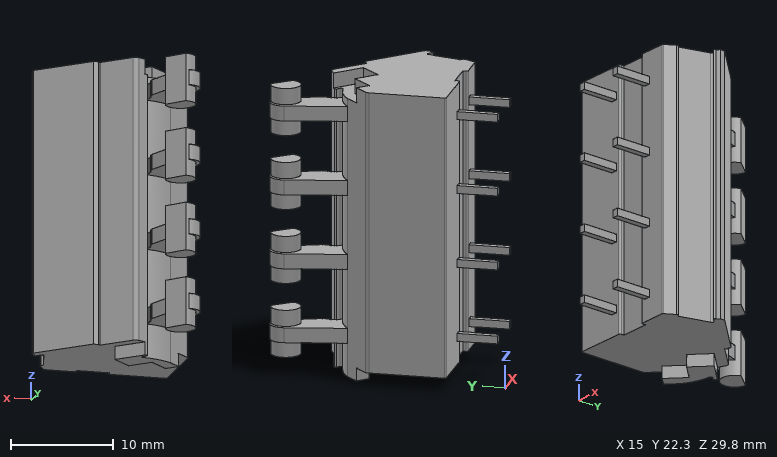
import cadquery as cq
import math


pole_count = 4
pole_pitch = 7.5
first_pin_z = 2.8
first_lever_z = 2.85

housing_height = 28.5
back_height = 7.93
edge_round = 0.18
back_round = 0.6
shoulder_x = 2.5
shoulder_y = back_height + shoulder_x
recess_left = 5.9
recess_right = 9.18
recess_depth = 0.5

overall_height = 29.8
key_height = overall_height - housing_height
socket_depth = 1.52
zigzag_start_x = 1.35
hook_root_x = 5.6
zigzag_overshoot = 2.98

pin_x_centers = (5.0, 10.05)
pin_width = 0.7
pin_thickness = 0.8
pin_length = 4.02
pin_embed = 0.6

knob_x = 3.2
knob_y = 16.75
knob_radius = 1.5
knob_length = 4.8
knob_flat_offset = 0.85
knob_flat_angle = 40
lever_thickness = 1.52
lever_end_x = 2.75
lever_end_radius = 1.5
lever_lean = 10.2
lever_embed = 1.5


def polar(center_x, center_y, radius, angle):
    """Point on a circle, with the angle in degrees from +X."""
    turn = math.radians(angle)
    return (center_x + radius * math.cos(turn), center_y + radius * math.sin(turn))


def make_housing():
    """Extruded housing with a latch hook on top and a lip at the front."""
    outline = (
        cq.Workplane("XY")
        .moveTo(0, 0)
        .lineTo(0, back_height)
        .lineTo(shoulder_x, shoulder_y)
        .threePointArc((3.8, 11.18), (5.48, 11.6))
        .threePointArc((5.72, 11.75), (5.65, 11.92))
        .lineTo(5.33, 12.22)
        .lineTo(5.33, 12.43)
        .lineTo(6.35, 12.93)
        .threePointArc((6.65, 13.0), (6.95, 12.85))
        .lineTo(9.55, 10.22)
        .lineTo(9.75, 10.43)
        .lineTo(10.25, 10.43)
        .lineTo(15.0, 5.7)
        .lineTo(15.0, 5.2)
        .lineTo(14.65, 4.85)
        .threePointArc((14.6, 4.68), (14.45, 4.7))
        .lineTo(14.13, 5.07)
        .threePointArc((13.92, 5.15), (13.75, 4.95))
        .lineTo(12.87, 1.65)
        .lineTo(13.08, 1.43)
        .lineTo(13.08, 1.2)
        .lineTo(12.4, 0)
        .lineTo(recess_right, 0)
        .lineTo(recess_right, recess_depth)
        .lineTo(recess_left, recess_depth)
        .lineTo(recess_left, 0)
        .close()
    )
    housing = outline.extrude(housing_height)
    housing = housing.faces("<Y").edges("|Z").fillet(edge_round)
    back_corner = cq.selectors.NearestToPointSelector((0, back_height, housing_height / 2))
    return housing.edges("|Z").edges(back_corner).fillet(back_round)


def make_zigzag(height):
    """Prism beyond the zigzag line shared by the key and the socket."""
    legs = ((1.05, -1), (1.88, 1), (1.85, -1), (1.9, 1))
    points = [(zigzag_start_x, back_height + zigzag_start_x)]
    for run, direction in legs:
        x, y = points[-1]
        points.append((x + run, y + direction * run))

    x, y = points[-1]
    hook_run = x - hook_root_x
    points.append((hook_root_x, y + hook_run))
    x, y = points[-1]
    points.append((x - zigzag_overshoot, y + zigzag_overshoot))
    x, y = points[0]
    points.append((x - zigzag_overshoot, y + zigzag_overshoot))
    return cq.Workplane("XY").polyline(points).close().extrude(height)


def make_pins():
    """Two rows of contact pins, rooted inside the housing."""
    root_y = recess_depth + pin_embed
    centers = [(x, first_pin_z + pole * pole_pitch) for x in pin_x_centers for pole in range(pole_count)]
    pins = cq.Workplane("XZ", origin=(0, root_y, 0)).pushPoints(centers)
    return pins.rect(pin_width, pin_thickness).extrude(pin_length + root_y)


def make_lever():
    """One lever with a flat-sided cross knob, centred on Z = 0."""
    knob = cq.Workplane("XY").center(knob_x, knob_y).circle(knob_radius)
    knob = knob.extrude(knob_length / 2, both=True)
    cutter = cq.Workplane("XY").box(knob_radius, 4 * knob_radius, 2 * knob_length)
    cutter = cutter.translate((knob_flat_offset + knob_radius / 2, 0, 0))
    cutter = cutter.rotate((0, 0, 0), (0, 0, 1), knob_flat_angle).translate((knob_x, knob_y, 0))

    tangent_angle = 180 + lever_lean
    arm = (
        cq.Workplane("XY")
        .moveTo(shoulder_x, shoulder_y - lever_embed)
        .lineTo(shoulder_x, shoulder_y)
        .lineTo(*polar(lever_end_x, knob_y, lever_end_radius, tangent_angle))
        .threePointArc(
            polar(lever_end_x, knob_y, lever_end_radius, (tangent_angle + 90) / 2),
            polar(lever_end_x, knob_y, lever_end_radius, 90),
        )
        .lineTo(knob_x, knob_y)
        .lineTo(4.35, 15.85)
        .lineTo(5.22, 13.55)
        .lineTo(5.22, 13.08)
        .lineTo(5.07, 12.66)
        .lineTo(5.13, 12.1)
        .lineTo(5.42, 11.6)
        .lineTo(5.07, shoulder_y - lever_embed)
        .close()
        .extrude(lever_thickness / 2, both=True)
    )
    return arm.union(knob.cut(cutter))


housing = make_housing()
socket = make_zigzag(socket_depth).translate((0, 0, housing_height - socket_depth))
key = housing.intersect(make_zigzag(key_height)).translate((0, 0, -key_height))

result = housing.cut(socket).union(key).union(make_pins())
lever = make_lever()
for pole in range(pole_count):
    result = result.union(lever.translate((0, 0, first_lever_z + pole * pole_pitch)))